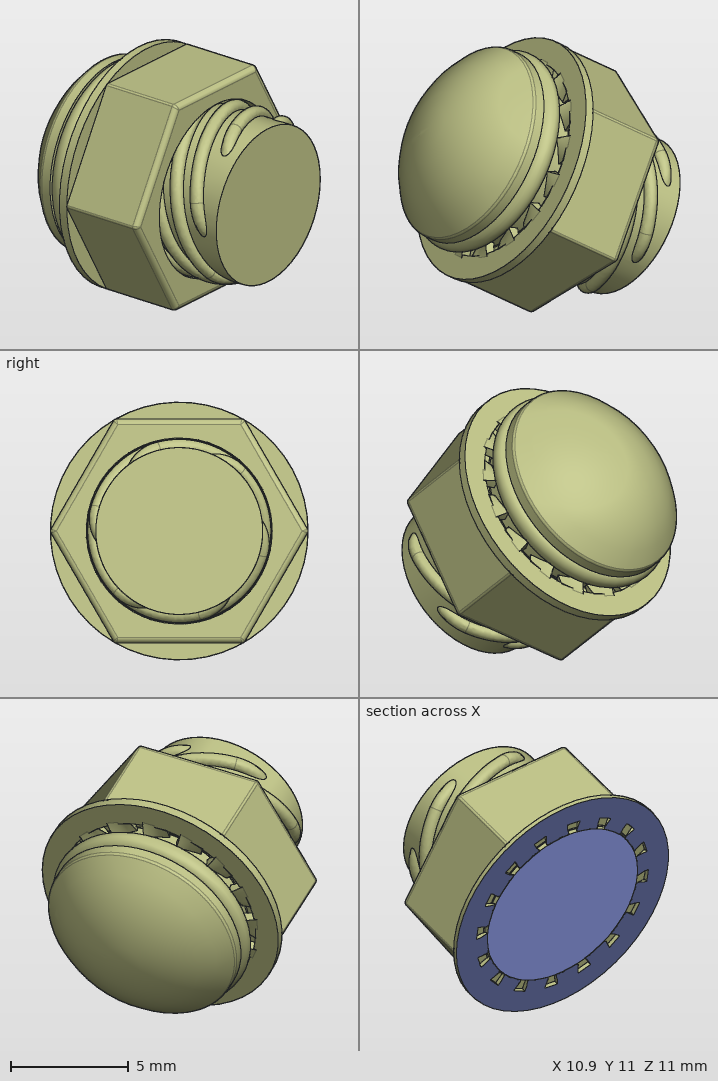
import cadquery as cq
import math


dome_sphere_radius = 5.71
flange_radius = 4.36
flange_thickness = 0.52
flange_fillet = 0.2
shank_radius = 3.545
shank_end_x = 8.38
collar_radius = 3.88
collar_chamfer = 0.06

thread_starts = 6
thread_pitch = 1.09
thread_lead = thread_starts * thread_pitch
thread_crest_radius = 3.9
ridge_radius = 0.3
ridge_helix_radius = thread_crest_radius - ridge_radius
thread_start_x = 2.6
thread_full_end_x = 7.29
runout_angle = 24.0
runout_depth = thread_crest_radius - shank_radius + 0.05
runout_steps = 3
thread_crossing_x = 5.94

o_ring_section_radius = 0.5
groove_width = 2 * o_ring_section_radius
o_ring_center_radius = shank_radius + o_ring_section_radius

washer_front_x = 1.4
washer_thickness = 0.4
washer_back_x = washer_front_x + washer_thickness
washer_outer_radius = 5.475
washer_inner_radius = 4.42
tooth_count = 16
tooth_width = 1.1
tooth_twist = -24.0
tooth_phase = 3.6
tooth_root_overlap = 0.1
tooth_tip_overlap = 0.1

nut_across_flats = 9.52
nut_length = 3.81
nut_bore_radius = thread_crest_radius + 0.05
nut_corner_fillet = 0.12
nut_back_fillet = 0.24


def disc(radius, start_x, end_x):
    """Cylinder along X between two stations."""
    return cq.Workplane("YZ", origin=(start_x, 0, 0)).circle(radius).extrude(end_x - start_x)


def make_lens_core():
    """Revolved lens without its thread ridges."""
    sphere_center_to_rim = math.sqrt(dome_sphere_radius**2 - flange_radius**2)
    sphere_center_x = sphere_center_to_rim - flange_thickness
    tip_x = sphere_center_x - dome_sphere_radius
    mid_angle = math.asin(flange_radius / dome_sphere_radius) / 2
    dome_mid = (
        sphere_center_x - dome_sphere_radius * math.cos(mid_angle),
        dome_sphere_radius * math.sin(mid_angle),
    )
    head = (
        cq.Workplane("XY")
        .moveTo(tip_x, 0)
        .threePointArc(dome_mid, (-flange_thickness, flange_radius))
        .lineTo(0, flange_radius)
        .lineTo(0, 0)
        .close()
        .revolve(360, (0, 0, 0), (1, 0, 0))
        .edges(cq.selectors.NearestToPointSelector((-flange_thickness, 0, flange_radius)))
        .fillet(flange_fillet)
    )
    collar = disc(collar_radius, groove_width, washer_back_x).faces("<X").chamfer(collar_chamfer)
    return head.union(disc(shank_radius, 0, shank_end_x)).union(collar)


def runout_point(share):
    """Point on the sinking end of a ridge that winds round Z; share runs from 0 to 1."""
    full_length = thread_full_end_x - thread_start_x
    height = full_length + share * thread_lead * runout_angle / 360
    turn = 2 * math.pi * height / thread_lead
    radius = ridge_helix_radius - runout_depth * share**2
    return cq.Vector(radius * math.cos(turn), radius * math.sin(turn), height)


def make_thread_ridge():
    """Round ridge with a constant stretch and an end that sinks into the shank."""
    full_helix = cq.Wire.makeHelix(thread_lead, thread_full_end_x - thread_start_x, ridge_helix_radius)
    start_section = cq.Plane(origin=full_helix.startPoint(), normal=full_helix.tangentAt(0))
    full_stretch = cq.Workplane(start_section).circle(ridge_radius).sweep(full_helix, isFrenet=True)

    helix_end_tangent = full_helix.tangentAt(1)
    sinking_points = [runout_point(step / runout_steps) for step in range(runout_steps + 1)]
    exit_tangent = sinking_points[-1] - sinking_points[-2]
    sinking_path = cq.Edge.makeSpline(sinking_points, tangents=[helix_end_tangent, exit_tangent])
    end_section = cq.Plane(origin=sinking_points[0], normal=helix_end_tangent)
    sinking_end = cq.Workplane(end_section).circle(ridge_radius).sweep(cq.Workplane(sinking_path))

    phase = 180 + 360 * (thread_start_x - thread_crossing_x) / thread_lead
    ridge = full_stretch.union(sinking_end).rotate((0, 0, 0), (0, 1, 0), 90)
    return ridge.rotate((0, 0, 0), (1, 0, 0), phase).translate((thread_start_x, 0, 0))


def make_lens():
    lens = make_lens_core()
    ridge = make_thread_ridge()
    for start in range(thread_starts):
        lens = lens.union(ridge.rotate((0, 0, 0), (1, 0, 0), start * 360 / thread_starts))
    return lens


def make_o_ring():
    return (
        cq.Workplane("XY")
        .center(o_ring_section_radius, o_ring_center_radius)
        .circle(o_ring_section_radius)
        .revolve(360, (0, -o_ring_center_radius, 0), (1, -o_ring_center_radius, 0))
    )


def make_tooth():
    """Tooth on the -Y side, flat at its root and twisted toward its inner tip."""
    root_radius = washer_inner_radius + tooth_root_overlap
    length = root_radius - collar_radius + tooth_tip_overlap
    middle_x = (washer_front_x + washer_back_x) / 2
    tooth = (
        cq.Workplane("XZ", origin=(middle_x, -root_radius, 0))
        .rect(washer_thickness, tooth_width)
        .twistExtrude(-length, tooth_twist)
    )
    tooth = tooth.cut(disc(collar_radius, 0, washer_back_x + washer_thickness))
    return tooth.cut(disc(washer_outer_radius, washer_back_x, washer_back_x + washer_thickness))


def make_washer():
    washer = disc(washer_outer_radius, washer_front_x, washer_back_x)
    washer = washer.cut(disc(washer_inner_radius, washer_front_x, washer_back_x))
    tooth = make_tooth()
    for index in range(tooth_count):
        angle = tooth_phase + index * 360 / tooth_count
        washer = washer.union(tooth.rotate((0, 0, 0), (1, 0, 0), -angle))
    return washer


def make_nut():
    corner_diameter = nut_across_flats / math.cos(math.pi / 6)
    return (
        cq.Workplane("YZ", origin=(washer_back_x, 0, 0))
        .polygon(6, corner_diameter)
        .extrude(nut_length)
        .edges("|X")
        .fillet(nut_corner_fillet)
        .faces(">X")
        .edges()
        .fillet(nut_back_fillet)
        .cut(disc(nut_bore_radius, washer_back_x, washer_back_x + nut_length))
    )


lens = make_lens()
o_ring = make_o_ring()
washer = make_washer()
nut = make_nut()

result = cq.Compound.makeCompound([lens.val(), o_ring.val(), washer.val(), nut.val()])